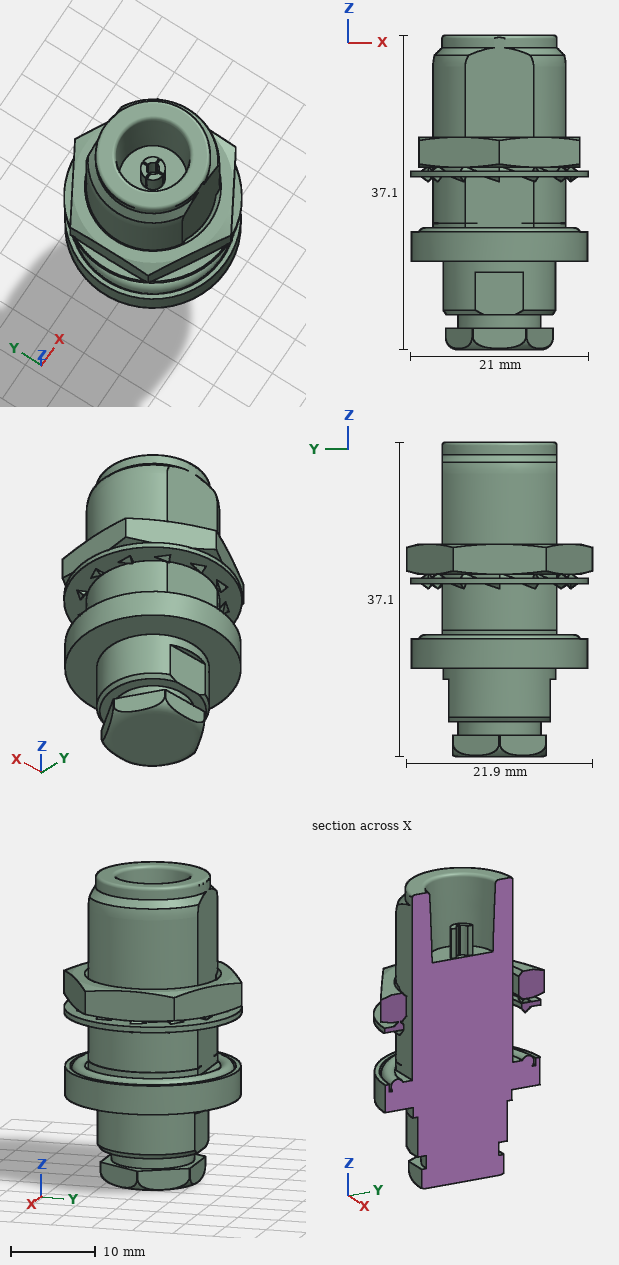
import cadquery as cq
import math


overall_height = 37.12
clamp_hex_top = 2.55
rear_bottom = 4.12
flange_bottom = 10.43
flange_top = 13.92
relief_level = 14.92
crown_bottom = 33.4
crown_top = 34.75
lip_bottom = 35.65

clamp_hex_flats = 11.05
clamp_hex_radius = 6.35
clamp_hex_round = 1.5
neck_radius = 4.9

rear_radius = 6.65
rear_chamfer = 0.37
rear_chamfer_height = 0.55
rear_flat = 6.0
rear_flat_top = 9.15

flange_radius = 10.4
groove_inner_radius = 8.15
groove_outer_radius = 9.8
groove_depth = 0.93
seal_section_radius = 0.85
seal_ring_radius = 8.75
seal_height = 0.5

barrel_radius = 7.87
barrel_flat = 6.75
relief_radius = 7.28
relief_width = 0.05

lip_notch_width = 1.22
lip_radius = math.hypot(barrel_flat, lip_notch_width / 2)
lip_round = 0.4

mouth_radius = 4.38
mouth_round = 0.45
bore_floor_radius = 4.05
bore_depth = 8.9
contact_radius = 1.45
contact_hole_radius = 0.75
contact_height = 3.7
contact_slot_width = 0.2

nut_bottom = 21.53
nut_top = 25.1
nut_flats = 19.0
nut_chamfer_angle = 15.0
nut_bore_radius = 7.5
nut_countersink = 0.55

washer_bottom = 20.4
washer_top = 21.1
washer_radius = 10.5
tooth_count = 12
tooth_tip_radius = 8.4
tooth_outer_radius = 9.2
tooth_length = 1.75
tooth_height = 0.6


def cylinder(radius, bottom, top):
    """Solid cylinder on the Z axis between two levels."""
    return cq.Workplane("XY").workplane(offset=bottom).circle(radius).extrude(top - bottom)


def hex_prism(across_flats, bottom, top, corner_angle):
    """Hexagonal prism on the Z axis with one corner at the given angle from +X."""
    corner_diameter = across_flats / math.cos(math.radians(30))
    prism = cq.Workplane("XY").workplane(offset=bottom).polygon(6, corner_diameter).extrude(top - bottom)
    return prism.rotate((0, 0, 0), (0, 0, 1), corner_angle)


def cut_flats(shape, half_distance, bottom, top):
    """Cut parallel flats on the -Y and +Y sides between two levels."""
    depth = 2 * flange_radius
    for side in (-1, 1):
        cutter = (
            cq.Workplane("XY")
            .workplane(offset=bottom)
            .center(0, side * (half_distance + depth / 2))
            .rect(2 * depth, depth)
            .extrude(top - bottom)
        )
        shape = shape.cut(cutter)
    return shape


def make_clamp_hex():
    rounded_blank = cylinder(clamp_hex_radius, 0, clamp_hex_top).faces("<Z").edges().fillet(clamp_hex_round)
    return hex_prism(clamp_hex_flats, 0, clamp_hex_top, 0).intersect(rounded_blank)


def make_rear_sleeve():
    sleeve = cylinder(rear_radius, rear_bottom, flange_bottom)
    sleeve = sleeve.faces("<Z").edges().chamfer(rear_chamfer_height, rear_chamfer)
    return cut_flats(sleeve, rear_flat, rear_bottom, rear_flat_top)


def make_barrel():
    """Barrel from the flange to the lip, with a curved and conical crown and two flats."""
    crown_radius = lip_radius + lip_bottom - crown_top
    rise = crown_top - crown_bottom
    inset = barrel_radius - crown_radius
    arc_radius = (rise**2 + inset**2) / (2 * inset)
    half_angle = math.atan2(inset, rise)
    arc_middle = (
        barrel_radius - arc_radius * (1 - math.cos(half_angle)),
        crown_bottom + arc_radius * math.sin(half_angle),
    )
    barrel = (
        cq.Workplane("XZ")
        .moveTo(0, flange_top)
        .lineTo(barrel_radius, flange_top)
        .lineTo(barrel_radius, crown_bottom)
        .threePointArc(arc_middle, (crown_radius, crown_top))
        .lineTo(lip_radius, lip_bottom)
        .lineTo(lip_radius, overall_height - lip_round)
        .radiusArc((lip_radius - lip_round, overall_height), -lip_round)
        .lineTo(0, overall_height)
        .close()
        .revolve(360, (0, 0, 0), (0, 1, 0))
    )
    return cut_flats(barrel, barrel_flat, flange_top, overall_height)


def make_flange():
    """Flange with a face groove and the seal ring seated in it."""
    flange = cylinder(flange_radius, flange_bottom, flange_top)
    groove_floor = flange_top - groove_depth
    groove = cylinder(groove_outer_radius, groove_floor, flange_top).cut(
        cylinder(groove_inner_radius, groove_floor, flange_top)
    )
    seal_center = flange_top + seal_height - seal_section_radius
    seal = (
        cq.Workplane("XZ")
        .center(seal_ring_radius, seal_center)
        .circle(seal_section_radius)
        .revolve(360, (-seal_ring_radius, 0, 0), (-seal_ring_radius, 1, 0))
    )
    return flange.cut(groove).union(seal)


def make_bore():
    """Cutter for the mouth: rounded entry and a wall that tapers to the floor."""
    floor = overall_height - bore_depth
    return (
        cq.Workplane("XZ")
        .moveTo(0, floor)
        .lineTo(bore_floor_radius, floor)
        .lineTo(mouth_radius, overall_height - mouth_round)
        .radiusArc((mouth_radius + mouth_round, overall_height), mouth_round)
        .lineTo(0, overall_height)
        .close()
        .revolve(360, (0, 0, 0), (0, 1, 0))
    )


def make_contact():
    """Slotted socket standing on the bore floor."""
    floor = overall_height - bore_depth
    top = floor + contact_height
    contact = cylinder(contact_radius, floor, top).cut(cylinder(contact_hole_radius, floor, top))
    for angle in (0, 90):
        slot = (
            cq.Workplane("XY")
            .workplane(offset=floor)
            .rect(2 * contact_radius, contact_slot_width)
            .extrude(contact_height)
            .rotate((0, 0, 0), (0, 0, 1), angle)
        )
        contact = contact.cut(slot)
    return contact


def make_relief():
    """Ring cutter for the fine groove near the root of the barrel."""
    top = relief_level + relief_width
    return cylinder(flange_radius, relief_level, top).cut(cylinder(relief_radius, relief_level, top))


def make_connector():
    return (
        make_clamp_hex()
        .union(cylinder(neck_radius, clamp_hex_top, rear_bottom))
        .union(make_rear_sleeve())
        .union(make_flange())
        .union(make_barrel().cut(make_relief()))
        .cut(make_bore())
        .union(make_contact())
    )


def make_nut():
    """Hex nut with corners on Y, both ends chamfered at the corners and countersunk at the bore."""
    flat_radius = nut_flats / 2
    corner_radius = flat_radius / math.cos(math.radians(30))
    corner_drop = (corner_radius - flat_radius) * math.tan(math.radians(nut_chamfer_angle))
    wide_radius = nut_bore_radius + nut_countersink
    blank = (
        cq.Workplane("XZ")
        .polyline(
            [
                (nut_bore_radius, nut_bottom + nut_countersink),
                (wide_radius, nut_bottom),
                (flat_radius, nut_bottom),
                (corner_radius, nut_bottom + corner_drop),
                (corner_radius, nut_top - corner_drop),
                (flat_radius, nut_top),
                (wide_radius, nut_top),
                (nut_bore_radius, nut_top - nut_countersink),
            ]
        )
        .close()
        .revolve(360, (0, 0, 0), (0, 1, 0))
    )
    return hex_prism(nut_flats, nut_bottom, nut_top, 90).intersect(blank)


def make_tooth(base_level, height, length):
    """Pyramid tooth on +X; signs of height and length set which way it points and slopes."""
    inner = cq.Vector(barrel_radius, 0, base_level)
    outer = cq.Vector(tooth_outer_radius, 0, base_level)
    tail = cq.Vector(tooth_tip_radius, length, base_level)
    tip = cq.Vector(tooth_tip_radius, 0, base_level + height)
    triangles = [(inner, outer, tail), (inner, outer, tip), (outer, tail, tip), (tail, inner, tip)]
    faces = [cq.Face.makeFromWires(cq.Wire.makePolygon(corners, close=True)) for corners in triangles]
    return cq.Workplane(obj=cq.Solid.makeSolid(cq.Shell.makeShell(faces)))


def make_washer():
    """Washer with teeth on both faces; the upper teeth bite into the nut."""
    washer = cylinder(washer_radius, washer_bottom, washer_top).cut(
        cylinder(barrel_radius, washer_bottom, washer_top)
    )
    upper_tooth = make_tooth(washer_top, tooth_height, tooth_length)
    lower_tooth = make_tooth(washer_bottom, -tooth_height, -tooth_length)
    for index in range(tooth_count):
        for tooth in (upper_tooth, lower_tooth):
            washer = washer.union(tooth.rotate((0, 0, 0), (0, 0, 1), index * 360 / tooth_count))
    return washer


connector = make_connector()
lock_nut = make_nut().union(make_washer()).cut(make_barrel())

result = cq.Compound.makeCompound([connector.solids().val(), lock_nut.solids().val()])